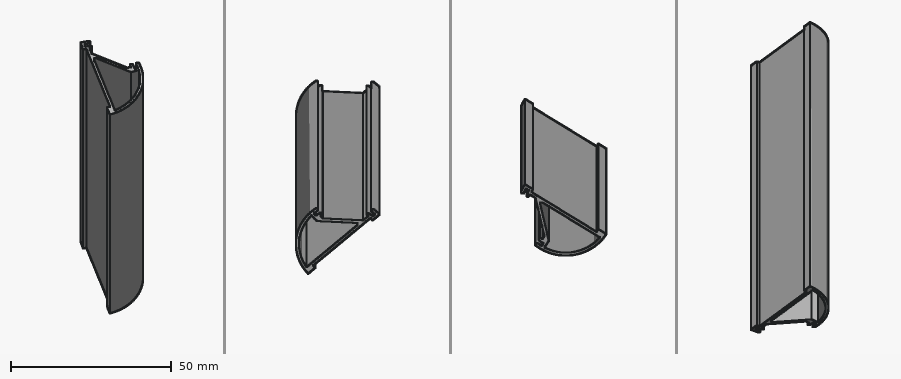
import cadquery as cq
import math

length = 100.0
width = 30.0
wall = 1.0

outer_radius = width / 2
inner_radius = outer_radius - wall
groove_radius = inner_radius - wall
lip_back = groove_radius - wall

foot_width = 3.0
foot_height = 1.0
base_top = foot_height + wall

clip_reach = 2.0
upper_tip_x = -clip_reach
lower_tip_y = foot_height + clip_reach
lip_round = wall / 2
lip_middle_radius = (outer_radius + inner_radius) / 2

web_left = 0.0
web_right = web_left + wall
lip_root_x = web_left - wall
slope_outer_offset = 11.85
slope_inner_offset = slope_outer_offset - wall * math.sqrt(2)
cavity_fillet = 0.5


def along(radius, offset):
    """Other coordinate of a point on a circle about the origin."""
    return math.sqrt(radius**2 - offset**2)


def above(radius, x):
    """Point at a given X on the upper half of a circle about the origin."""
    return x, along(radius, x)


def left_of(radius, y):
    """Point at a given Y on the left half of a circle about the origin."""
    return -along(radius, y), y


def add_arc(sketch, start, end):
    """Continue an outline from start to end along a circle about the origin."""
    chord_middle = ((start[0] + end[0]) / 2, (start[1] + end[1]) / 2)
    stretch = math.hypot(*end) / math.hypot(*chord_middle)
    return sketch.threePointArc((chord_middle[0] * stretch, chord_middle[1] * stretch), end)


def add_upper_clip(sketch):
    """Curved cover, its lip with a full round end, groove, and the shorter inner lip."""
    round_x = upper_tip_x + lip_round
    lip_centre_y = along(groove_radius, round_x) - lip_round
    back_x = round_x - along(lip_round, lip_centre_y - lip_back)
    sketch = add_arc(sketch, (outer_radius, 0), above(outer_radius, round_x))
    sketch = sketch.threePointArc(
        above(lip_middle_radius, upper_tip_x), above(inner_radius, round_x)
    )
    sketch = add_arc(sketch, above(inner_radius, round_x), above(inner_radius, web_left))
    sketch = sketch.lineTo(*above(groove_radius, web_left))
    sketch = add_arc(sketch, above(groove_radius, web_left), above(groove_radius, round_x))
    sketch = sketch.threePointArc((upper_tip_x, lip_centre_y), (back_x, lip_back))
    return sketch.lineTo(lip_root_x, lip_back)


def add_lower_clip(sketch):
    """Inner lip, groove, and the outer lip with a full round end."""
    round_y = lower_tip_y - lip_round
    lip_centre_x = -along(groove_radius, round_y) + lip_round
    back_y = round_y + along(lip_round, lip_centre_x + lip_back)
    sketch = sketch.lineTo(-lip_back, base_top).lineTo(-lip_back, back_y)
    sketch = sketch.threePointArc((lip_centre_x, lower_tip_y), left_of(groove_radius, round_y))
    sketch = add_arc(sketch, left_of(groove_radius, round_y), left_of(groove_radius, foot_height))
    sketch = sketch.lineTo(*left_of(inner_radius, foot_height))
    sketch = add_arc(sketch, left_of(inner_radius, foot_height), left_of(inner_radius, round_y))
    sketch = sketch.threePointArc(
        left_of(lip_middle_radius, lower_tip_y), left_of(outer_radius, round_y)
    )
    return add_arc(sketch, left_of(outer_radius, round_y), (-outer_radius, 0))


def make_body():
    """Outer outline with both clips, solid through the cavity."""
    foot_inner_x = outer_radius - foot_width
    sketch = (
        cq.Workplane("XY")
        .moveTo(-outer_radius, 0)
        .lineTo(-foot_inner_x, 0)
        .lineTo(-foot_inner_x, foot_height)
        .lineTo(foot_inner_x, foot_height)
        .lineTo(foot_inner_x, 0)
        .lineTo(outer_radius, 0)
    )
    sketch = add_upper_clip(sketch)
    sketch = sketch.lineTo(lip_root_x, lip_root_x + slope_outer_offset)
    sketch = sketch.lineTo(base_top - slope_outer_offset, base_top)
    return add_lower_clip(sketch).close().extrude(length)


def make_cavity():
    """Closed channel between the base plate, sloping wall, web and cover."""
    corner = (base_top - slope_inner_offset, base_top)
    cover_start = (along(inner_radius, base_top), base_top)
    sketch = (
        cq.Workplane("XY")
        .moveTo(web_right, web_right + slope_inner_offset)
        .lineTo(*corner)
        .lineTo(*cover_start)
    )
    sketch = add_arc(sketch, cover_start, above(inner_radius, web_right))
    corner_edge = cq.selectors.NearestToPointSelector((*corner, length / 2))
    return sketch.close().extrude(length).edges(corner_edge).fillet(cavity_fillet)


result = make_body().cut(make_cavity())